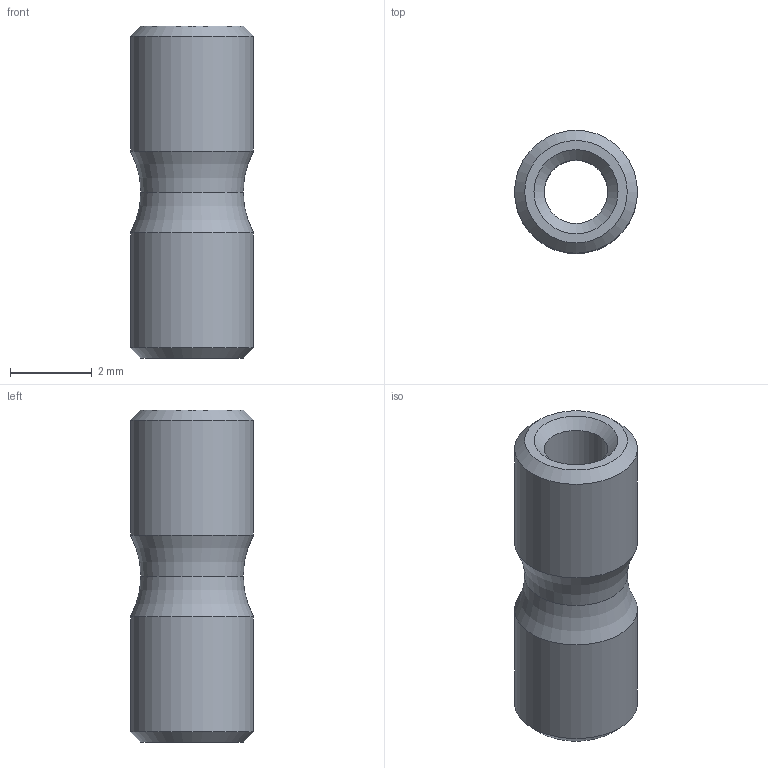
import cadquery as cq

length = 8.1
outer_diameter = 3.0
bore_diameter = 1.55
chamfer = 0.25
waist_width = 2.0
waist_depth = 0.25

outer_radius = outer_diameter / 2
bore_radius = bore_diameter / 2
waist_radius = outer_radius - waist_depth
half_length = length / 2
half_waist = waist_width / 2
waist_arc_radius = (half_waist**2 + waist_depth**2) / (2 * waist_depth)
chamfer_start = half_length - chamfer

full_turn = 360


def make_sleeve():
    """Revolve the half section (radius, height) of the sleeve about Z."""
    half_section = (
        cq.Workplane("XZ")
        .moveTo(bore_radius, -chamfer_start)
        .lineTo(bore_radius + chamfer, -half_length)
        .lineTo(outer_radius - chamfer, -half_length)
        .lineTo(outer_radius, -chamfer_start)
        .lineTo(outer_radius, -half_waist)
        .radiusArc((waist_radius, 0), waist_arc_radius)
        .radiusArc((outer_radius, half_waist), waist_arc_radius)
        .lineTo(outer_radius, chamfer_start)
        .lineTo(outer_radius - chamfer, half_length)
        .lineTo(bore_radius + chamfer, half_length)
        .lineTo(bore_radius, chamfer_start)
        .close()
    )
    return half_section.revolve(full_turn, (0, 0, 0), (0, 1, 0), clean=False)


result = make_sleeve()